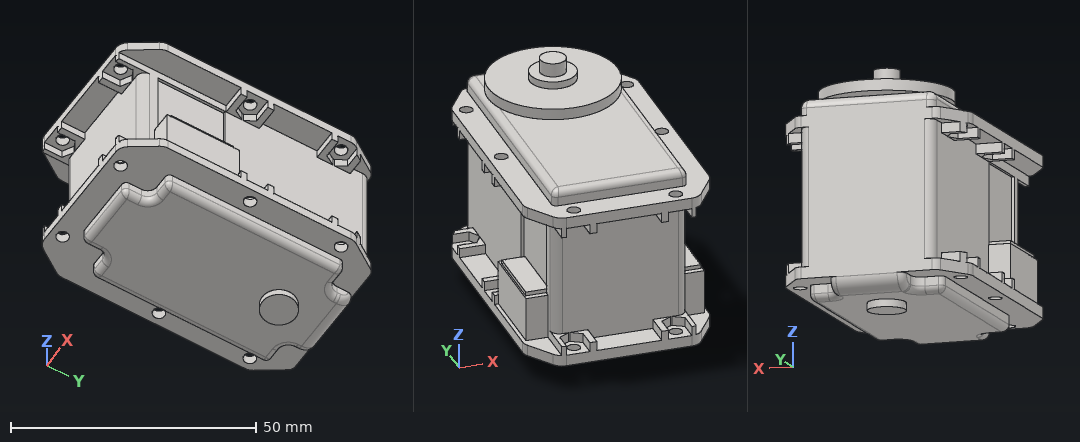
import cadquery as cq
import math


case_half_width = 14.5
case_back = 13.0
case_front = -42.5
case_height = 40.95
side_corner_radius = 2.0
corner_radius = 1.1

plate_half_width = 20.1
plate_front = -48.1
plate_thickness = 2.45
lower_plate_z = 3.4
upper_plate_z = 34.95
plate_corner_x = 5.0
plate_corner_y = 7.5
plate_corner_radius = 3.0
plate_back_corner_radius = 1.8
hole_diameter = 2.75
hole_inset = 2.8
side_hole_ys = (4.0, -18.0)
front_hole_x = 11.0
pad_height = 2.05
pad_width = 8.0
nut_width = 5.0

lid_edge_radius = 1.6
lid_back_edge_radius = 2.0

notch_size = 6.4
notch_inner_radius = 2.3
base_edge_radius = 1.5
base_back_edge_radius = 3.3

recess_back = -22.3
recess_front = -38.45
recess_top = 32.95
recess_depth = 0.6
connector_back = -21.8
connector_front = -39.3
connector_top = 15.5
connector_half_width = 19.25
lip_height = 0.85
lip_inset_x = 0.35
lip_inset_y = 1.2

collar_radius = 5.55
collar_height = 0.45
disc_radius = 14.0
disc_height = 2.4
hub_radius = 5.0
hub_height = 1.6
shaft_radius = 2.75
shaft_height = 3.0
boss_radius = 4.0
boss_height = 1.6

lower_plate_top = lower_plate_z + plate_thickness
upper_plate_top = upper_plate_z + plate_thickness
nut_corner_diameter = nut_width / math.cos(math.pi / 6)


def block(x0, x1, y0, y1, z0, z1):
    """Box between two opposite corners."""
    return cq.Workplane("XY").box(x1 - x0, y1 - y0, z1 - z0, centered=False).translate((x0, y0, z0))


def case_block(z0, z1):
    """Sharp-edged slice of the case."""
    return block(-case_half_width, case_half_width, case_front, case_back, z0, z1)


def middle():
    """Case between the plates, with a shallow recess in each side."""
    body = case_block(lower_plate_z, upper_plate_top)
    body = body.edges("|Z").fillet(side_corner_radius)
    recess_floor = case_half_width - recess_depth
    for x0, x1 in ((-case_half_width, -recess_floor), (recess_floor, case_half_width)):
        body = body.cut(block(x0, x1, recess_front, recess_back, lower_plate_top, recess_top))
    return body


def lid():
    """Rounded top of the case; the side rounding runs on down the back corners."""
    body = case_block(upper_plate_z, case_height)
    body = body.edges("|Z and <Y").fillet(corner_radius)
    body = body.edges(">Z and >Y").fillet(lid_back_edge_radius)
    return body.faces(">Z").edges("not >Y").fillet(lid_edge_radius)


def base():
    """Rounded bottom of the case with a notch in each corner."""
    body = case_block(0, lower_plate_z)
    notch = cq.Workplane("XY").rect(2 * notch_size, 2 * notch_size).extrude(lower_plate_z)
    notch = notch.edges("|Z").fillet(notch_inner_radius)
    for x in (-case_half_width, case_half_width):
        for y in (case_front, case_back):
            body = body.cut(notch.translate((x, y, 0)))

    for side in (-1, 1):
        corners = [
            (side * (case_half_width - notch_size), case_front),
            (side * case_half_width, case_front + notch_size),
            (side * case_half_width, case_back - notch_size),
        ]
        for x, y in corners:
            upright = cq.selectors.NearestToPointSelector((x, y, lower_plate_z / 2))
            body = body.edges(upright).fillet(corner_radius)

    body = body.edges("<Z and >Y").fillet(base_back_edge_radius)
    return body.faces("<Z").edges("not >Y").fillet(base_edge_radius)


def plate_blank(z0, z1):
    """Plate outline with four cut and rounded corners."""
    inner_x = plate_half_width - plate_corner_x
    points = [
        (inner_x, plate_front),
        (plate_half_width, plate_front + plate_corner_y),
        (plate_half_width, case_back - plate_corner_y),
        (inner_x, case_back),
    ]
    points += [(-x, y) for x, y in reversed(points)]
    blank = cq.Workplane("XY").workplane(offset=z0).polyline(points).close().extrude(z1 - z0)
    blank = blank.edges("|Z and >Y").fillet(plate_back_corner_radius)
    return blank.edges("|Z and (not >Y)").fillet(plate_corner_radius)


def hole_sites():
    """Hole centres, each with the direction in degrees from the hole out to the plate edge."""
    side_x = plate_half_width - hole_inset
    sites = [(front_hole_x * side, plate_front + hole_inset, -90) for side in (-1, 1)]
    for y in side_hole_ys:
        sites += [(-side_x, y, 180), (side_x, y, 0)]
    return sites


def pads(z0):
    """Pads around the holes, each holding a hexagonal nut trap open to the plate edge."""
    front_pad_back = case_front + side_corner_radius
    inner = plate_front + hole_inset - front_pad_back
    outer = hole_inset
    layer = cq.Workplane("XY")
    for x, y, angle in hole_sites():
        pad = block(inner, outer, -pad_width / 2, pad_width / 2, 0, pad_height)
        trap = cq.Workplane("XY").polygon(6, nut_corner_diameter).extrude(pad_height)
        trap = trap.union(block(0, outer, -nut_width / 2, nut_width / 2, 0, pad_height))
        pad = pad.cut(trap).rotate((0, 0, 0), (0, 0, 1), angle).translate((x, y, z0))
        layer = layer.add(pad)
    layer = layer.combine()

    for x0, x1 in ((-plate_half_width, -case_half_width), (case_half_width, plate_half_width)):
        layer = layer.cut(block(x0, x1, plate_front, front_pad_back, z0, z0 + pad_height))
    return layer.intersect(plate_blank(z0, z0 + pad_height))


def plate(z0, pad_z):
    """Mounting plate with its holes and pads."""
    holes = [(x, y) for x, y, _ in hole_sites()]
    cutter = cq.Workplane("XY").workplane(offset=z0).pushPoints(holes).circle(hole_diameter / 2)
    drilled = plate_blank(z0, z0 + plate_thickness).cut(cutter.extrude(plate_thickness))
    return drilled.union(pads(pad_z))


def connectors():
    """Connector bodies on both sides, each with a small lip on top."""
    floor_x = case_half_width - recess_depth
    outer_x = connector_half_width
    body = block(floor_x, outer_x, connector_front, connector_back, lower_plate_top, connector_top)
    lip_x = outer_x - lip_inset_x
    lip_front = connector_front + lip_inset_y
    lip_back = connector_back - lip_inset_y
    lip = block(floor_x, lip_x, lip_front, lip_back, connector_top, connector_top + lip_height)
    one_side = body.union(lip)
    return one_side.union(one_side.mirror("YZ"))


def output_stack():
    """Collar, disc, hub and shaft on the output axis."""
    stack = cq.Workplane("XY").workplane(offset=case_height)
    stack = stack.circle(collar_radius).extrude(collar_height)
    steps = ((disc_radius, disc_height), (hub_radius, hub_height), (shaft_radius, shaft_height))
    for radius, height in steps:
        stack = stack.faces(">Z").workplane().circle(radius).extrude(height)
    return stack


def boss():
    """Idler boss under the case."""
    return cq.Workplane("XY").circle(boss_radius).extrude(-boss_height)


result = middle()
for feature in (
    lid(),
    base(),
    plate(lower_plate_z, lower_plate_top),
    plate(upper_plate_z, upper_plate_z - pad_height),
    connectors(),
    output_stack(),
    boss(),
):
    result = result.union(feature)